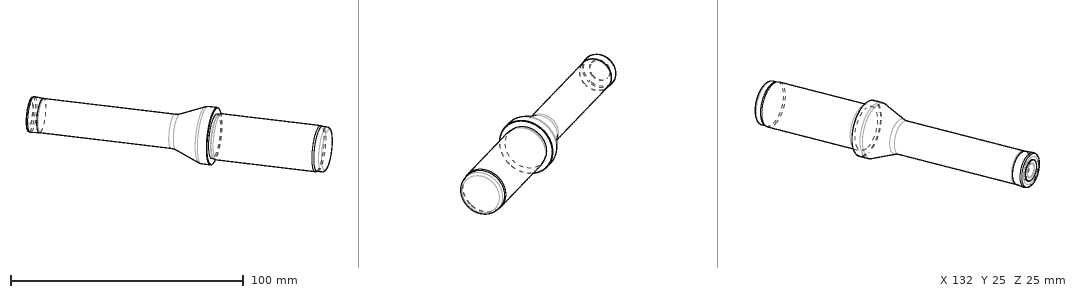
import cadquery as cq

total_length = 132.0
tip_edge = 0.9
tip_length = 4.9
seat_chamfer = 0.5
stem_end = 63.6
cone_start = 65.7
cone_end = 76.7
flange_start = 77.7
flange_end = 82.0
flange_chamfer = 0.3
undercut_end = 82.9
neck_end = 83.2
shank_start = 84.1
shank_end = 128.0
pilot_start = 128.8
end_fillet = 1.0

stem_radius = 14.9 / 2
seat_drop = 0.1
seat_radius = stem_radius - seat_drop
tip_radius = 7.8
tip_back_radius = 7.5
bevel_outer_radius = 7.5
bevel_inner_radius = 6.2
ridge_outer_radius = 4.9
ridge_radius = 4.6
dish_radius = 3.3
center_radius = 2.9
cone_start_radius = 7.8
flange_radius = 25.0 / 2
cone_end_drop = 0.3
cone_end_radius = flange_radius - cone_end_drop
undercut_depth = 0.07
pilot_radius = 19.5 / 2
undercut_radius = pilot_radius - undercut_depth
shank_radius = 20.0 / 2

ridge_step = 0.1
bevel_start_depth = 0.1
bevel_end_depth = 0.18
dish_depth = 0.08
center_depth = 0.2
apex_depth = 0.4


def revolve_about_x(outline):
    """Turn a closed outline, drawn as (x, radius), about the X axis."""
    return outline.close().revolve(360, (0, 0, 0), (1, 0, 0))


def make_tip():
    """Slightly back-tapered cap with a chamfered rim and a raised, dished ring on its face."""
    outline = (
        cq.Workplane("XY")
        .moveTo(tip_length, 0)
        .lineTo(apex_depth, 0)
        .lineTo(center_depth, center_radius)
        .lineTo(dish_depth, dish_radius)
        .lineTo(0, ridge_radius)
        .lineTo(ridge_step, ridge_outer_radius)
        .lineTo(bevel_start_depth, bevel_inner_radius)
        .lineTo(bevel_end_depth, bevel_outer_radius)
        .lineTo(tip_edge, tip_radius)
        .lineTo(tip_length, tip_back_radius)
    )
    return revolve_about_x(outline)


def make_holder():
    """Stem that flares into a flange, followed by a relieved shank."""
    end_fillet_start = total_length - end_fillet
    outline = (
        cq.Workplane("XY")
        .moveTo(tip_length, 0)
        .lineTo(tip_length, seat_radius)
        .lineTo(tip_length + seat_chamfer, stem_radius)
        .lineTo(stem_end, stem_radius)
        .tangentArcPoint((cone_start, cone_start_radius), relative=False)
        .lineTo(cone_end, cone_end_radius)
        .tangentArcPoint((flange_start, flange_radius), relative=False)
        .lineTo(flange_end - flange_chamfer, flange_radius)
        .lineTo(flange_end, flange_radius - flange_chamfer)
        .lineTo(flange_end, undercut_radius)
        .lineTo(undercut_end, undercut_radius)
        .lineTo(neck_end, pilot_radius)
        .lineTo(shank_start, shank_radius)
        .lineTo(shank_end, shank_radius)
        .lineTo(pilot_start, pilot_radius)
        .lineTo(end_fillet_start, pilot_radius)
        .radiusArc((total_length, pilot_radius - end_fillet), end_fillet)
        .lineTo(total_length, 0)
    )
    return revolve_about_x(outline)


tip = make_tip()
holder = make_holder()

result = cq.Compound.makeCompound([tip.val(), holder.val()])